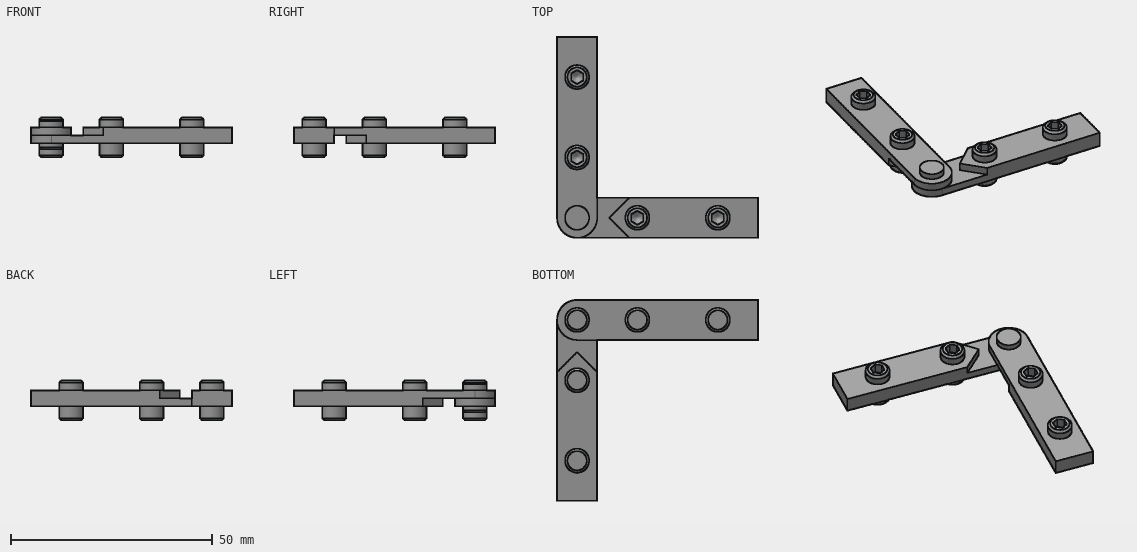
import cadquery as cq
import math

leaf_length = 50.0
leaf_width = 10.0
leaf_thickness = 4.0
leaf_bottom = 3.5
end_radius = leaf_width / 2
tongue_thickness = leaf_thickness / 2
joint_height = leaf_bottom + tongue_thickness
leaf_top = leaf_bottom + leaf_thickness
shoulder_tip = 13.0
shoulder_base = shoulder_tip + leaf_width / 2

pin_diameter = 6.0
pin_radius = pin_diameter / 2
edge_chamfer = 0.6
screw_length = 10.0
screw_positions = [20.0, 40.0]
hex_across_flats = 3.0
hex_across_corners = hex_across_flats / math.cos(math.pi / 6)
socket_depth = 2.5
socket_point_angle = 120.0

pivot = (end_radius, end_radius)
pin_overhang = 1.5
pin_bottom = leaf_bottom - pin_overhang
pin_length = leaf_thickness + 2 * pin_overhang


def make_leaf():
    """Leaf along X with a thin rounded tongue below its pointed shoulder."""
    tongue = (
        cq.Workplane("XY", origin=(0, 0, leaf_bottom))
        .moveTo(end_radius, 0)
        .lineTo(leaf_length, 0)
        .lineTo(leaf_length, leaf_width)
        .lineTo(end_radius, leaf_width)
        .threePointArc((0, end_radius), (end_radius, 0))
        .close()
        .extrude(tongue_thickness)
    )
    shoulder = (
        cq.Workplane("XY", origin=(0, 0, joint_height))
        .polyline([
            (shoulder_tip, leaf_width / 2),
            (shoulder_base, 0),
            (leaf_length, 0),
            (leaf_length, leaf_width),
            (shoulder_base, leaf_width),
        ])
        .close()
        .extrude(leaf_top - joint_height)
    )
    leaf = tongue.union(shoulder)
    hole_centers = [pivot] + [(position, end_radius) for position in screw_positions]
    holes = (
        cq.Workplane("XY", origin=(0, 0, leaf_bottom))
        .pushPoints(hole_centers)
        .circle(pin_radius)
        .extrude(leaf_thickness)
    )
    return leaf.cut(holes)


def make_screw(center):
    """Set screw with chamfered ends and a hexagon socket with a drilled point."""
    body = cq.Workplane("XY").circle(pin_radius).extrude(screw_length)
    body = body.faces("<Z or >Z").chamfer(edge_chamfer)

    corner_radius = hex_across_corners / 2
    point_depth = corner_radius / math.tan(math.radians(socket_point_angle / 2))
    socket_bottom = screw_length - socket_depth - point_depth
    bore = (
        cq.Workplane("XZ")
        .polyline([
            (0, socket_bottom),
            (pin_radius, socket_bottom + point_depth * pin_radius / corner_radius),
            (pin_radius, screw_length),
            (0, screw_length),
        ])
        .close()
        .revolve(360, (0, 0, 0), (0, 1, 0))
    )
    hexagon = (
        cq.Workplane("XY", origin=(0, 0, socket_bottom))
        .transformed(rotate=(0, 0, 90))
        .polygon(6, hex_across_corners)
        .extrude(socket_depth + point_depth)
    )
    return body.cut(hexagon.intersect(bore)).translate((*center, 0))


def make_hinge_pin():
    """Plain hinge pin with a flat top and a chamfered lower end."""
    pin = cq.Workplane("XY", origin=(*pivot, pin_bottom)).circle(pin_radius).extrude(pin_length)
    return pin.faces("<Z").chamfer(edge_chamfer)


leaf_x = make_leaf()
leaf_y = leaf_x.rotate((0, 0, joint_height), (0.5, 0.5, joint_height), 180)

hinge_pin = make_hinge_pin()

screws = []
for position in screw_positions:
    screws.append(make_screw((position, end_radius)).val())
    screws.append(make_screw((end_radius, position)).val())

result = cq.Compound.makeCompound([leaf_x.val(), leaf_y.val(), hinge_pin.val(), *screws])